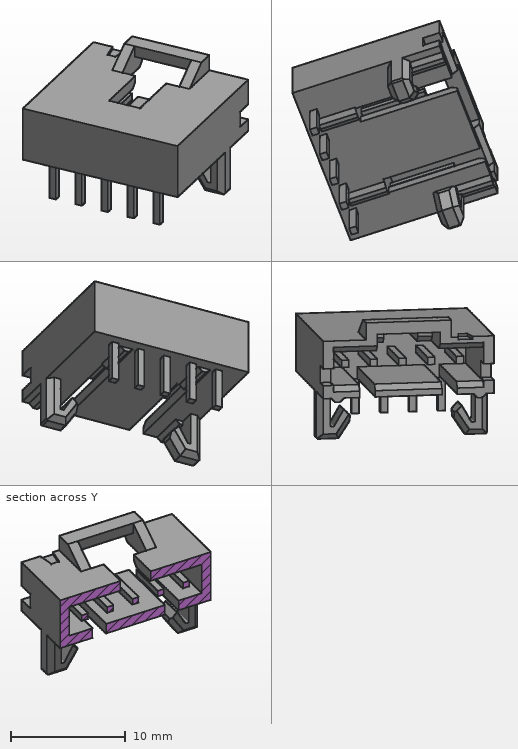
import cadquery as cq


WIDTH = 15.11
DEPTH = 13.58
HEIGHT = 5.08
FRONT_WALL = 4.67
SIDE_WALL = 0.92
SHELL = 1.06
MOUTH_BEVEL = 0.5

BRIDGE_WIDTH = 7.54
CHEEK = 1.0
BRIDGE_RISE = 1.51
BRIDGE_TOP_DEPTH = 1.53
BRIDGE_BAR = 1.05
CHEEK_DEPTH = 3.84
STEM_WIDTH = 3.0
OPENING_WIDTH = BRIDGE_WIDTH - 2 * CHEEK

NOTCH_DEPTH = BRIDGE_TOP_DEPTH
NOTCH_BOTTOM = 1.15
NOTCH_HEIGHT = 1.48
MARK_X = -5.03
MARK_WIDE = 1.27
MARK_NARROW = 0.79
MARK_SINK = 0.23
FLOOR_SLOT_WIDTH = 1.36
FLOOR_SLOT_X = 3.63

PIN_COUNT = 5
PIN_PITCH = 2.54
PIN = 0.63
PIN_ROW_Y = 1.18
PIN_DROP = 3.67
PIN_Z = 2.46
CONTACT_TIP_Y = DEPTH - 3.05

RIDGE_TOP = 1.24
RIDGE_BOTTOM = 0.4
RIDGE_DROP = 0.36
RIDGE_LENGTH = FRONT_WALL - PIN_ROW_Y
INNER_RIDGE_X = 1.5 * PIN_PITCH
OUTER_RIDGE_X = 6.29

CLIP_DROP = 4.2
CLIP_THICKNESS = 2.02
CLIP_Y = DEPTH - 3.95
CLIP_BEVEL = 0.51
CLIP_FOOT = 1.95
CLIP_CORNER = 0.15
CLIP_POST = 1.16
CLIP_REACH = 2.95
ARM_RUN = 0.66
GAP_RUN = 0.58
GAP_WIDTH = 0.3
GAP_FLOOR = 1.16
GAP_ROUND = 0.09
BARB_HEIGHT = 2.04
BARB_LEAN = 0.75


def box(x0, x1, y0, y1, z0, z1):
    return cq.Workplane("XY").box(x1 - x0, y1 - y0, z1 - z0, centered=False).translate((x0, y0, z0))


def extrude_along_x(points, x0, x1):
    return cq.Workplane("YZ", origin=(x0, 0, 0)).polyline(points).close().extrude(x1 - x0)


def extrude_along_y(points, y0, y1):
    return cq.Workplane("XZ", origin=(0, y0, 0)).polyline(points).close().extrude(y0 - y1)


def both_sides(solid):
    return solid.union(solid.mirror("YZ"))


def make_cavity():
    low = SHELL
    high = HEIGHT - SHELL
    mouth = DEPTH - MOUTH_BEVEL
    profile = [
        (FRONT_WALL, low),
        (mouth, low),
        (DEPTH, low - MOUTH_BEVEL),
        (DEPTH, high + MOUTH_BEVEL),
        (mouth, high),
        (FRONT_WALL, high),
    ]
    inner = WIDTH / 2 - SIDE_WALL
    return extrude_along_x(profile, -inner, inner)


def make_roof_opening():
    """T-shaped opening whose step carries the same lead-in bevel as the mouth."""
    underside = HEIGHT - SHELL
    step_y = DEPTH - CHEEK_DEPTH
    wide = OPENING_WIDTH / 2
    stem = box(-STEM_WIDTH / 2, STEM_WIDTH / 2, FRONT_WALL, DEPTH, underside, HEIGHT)
    profile = [
        (step_y, HEIGHT),
        (step_y, underside + MOUTH_BEVEL),
        (step_y - MOUTH_BEVEL, underside),
        (DEPTH, underside),
        (DEPTH, HEIGHT),
    ]
    return stem.union(extrude_along_x(profile, -wide, wide))


def make_latch_bridge():
    top = HEIGHT + BRIDGE_RISE
    half = BRIDGE_WIDTH / 2
    bar_y = DEPTH - BRIDGE_TOP_DEPTH
    profile = [(DEPTH, HEIGHT), (DEPTH, top), (bar_y, top), (DEPTH - CHEEK_DEPTH, HEIGHT)]
    cheek = extrude_along_x(profile, half - CHEEK, half)
    bar = box(-half, half, bar_y, DEPTH, top - BRIDGE_BAR, top)
    return both_sides(cheek).union(bar)


def make_orientation_mark():
    outline = [
        (MARK_X - MARK_WIDE / 2, DEPTH),
        (MARK_X + MARK_WIDE / 2, DEPTH),
        (MARK_X + MARK_NARROW / 2, DEPTH - NOTCH_DEPTH),
        (MARK_X - MARK_NARROW / 2, DEPTH - NOTCH_DEPTH),
    ]
    return cq.Workplane("XY", origin=(0, 0, HEIGHT - MARK_SINK)).polyline(outline).close().extrude(MARK_SINK)


def make_ridge(x, y0):
    profile = [
        (x - RIDGE_TOP / 2, 0),
        (x + RIDGE_TOP / 2, 0),
        (x + RIDGE_BOTTOM / 2, -RIDGE_DROP),
        (x - RIDGE_BOTTOM / 2, -RIDGE_DROP),
    ]
    return extrude_along_y(profile, y0, y0 + RIDGE_LENGTH)


def make_pin(x):
    contact = box(
        x - PIN / 2, x + PIN / 2, PIN_ROW_Y - PIN / 2, CONTACT_TIP_Y, PIN_Z - PIN / 2, PIN_Z + PIN / 2
    )
    leg = box(
        x - PIN / 2, x + PIN / 2, PIN_ROW_Y - PIN / 2, PIN_ROW_Y + PIN / 2, -PIN_DROP, PIN_Z + PIN / 2
    )
    return contact.union(leg)


def make_clip():
    """Clip at the -X side: an upright post joined at its foot to a springy, barbed arm."""
    outer = -WIDTH / 2
    foot = -CLIP_DROP
    y0 = CLIP_Y - CLIP_THICKNESS / 2
    y1 = CLIP_Y + CLIP_THICKNESS / 2
    foot_end = outer + CLIP_FOOT
    blank = extrude_along_y(
        [(outer, 0), (outer, foot), (foot_end, foot), (foot_end + ARM_RUN * CLIP_DROP, 0)], y0, y1
    )
    blank = blank.faces("<Y or >Y").edges("not >Z").chamfer(CLIP_BEVEL)

    tip = outer + CLIP_REACH
    barb_z = foot + BARB_HEIGHT
    envelope = extrude_along_y(
        [
            (outer, 0),
            (outer, foot + CLIP_CORNER),
            (outer + CLIP_CORNER, foot),
            (tip, foot),
            (tip, barb_z),
            (tip - BARB_LEAN, barb_z + BARB_LEAN),
            (tip - BARB_LEAN, 0),
        ],
        y0,
        y1,
    )

    gap_x = outer + CLIP_POST
    gap_z = foot + GAP_FLOOR
    gap_side = gap_x + GAP_WIDTH
    gap_depth = CLIP_DROP - GAP_FLOOR
    gap = extrude_along_y(
        [(gap_x, 0), (gap_x, gap_z), (gap_side, gap_z), (gap_side + GAP_RUN * gap_depth, 0)], y0, y1
    )
    gap = gap.edges("|Y").edges("<Z").fillet(GAP_ROUND)
    return blank.intersect(envelope).cut(gap)


def make_side_notches():
    """Locking notch through both side walls."""
    top = NOTCH_BOTTOM + NOTCH_HEIGHT
    return box(-WIDTH / 2, WIDTH / 2, DEPTH - NOTCH_DEPTH, DEPTH, NOTCH_BOTTOM, top)


def make_floor_slot():
    half = FLOOR_SLOT_WIDTH / 2
    return box(FLOOR_SLOT_X - half, FLOOR_SLOT_X + half, FRONT_WALL, DEPTH, 0, SHELL)


housing = box(-WIDTH / 2, WIDTH / 2, 0, DEPTH, 0, HEIGHT)
housing = housing.cut(make_cavity())
housing = housing.cut(make_roof_opening())
housing = housing.cut(make_side_notches())
housing = housing.cut(make_orientation_mark())
housing = housing.cut(both_sides(make_floor_slot()))

result = housing.union(make_latch_bridge())
result = result.union(both_sides(make_ridge(INNER_RIDGE_X, FRONT_WALL - RIDGE_LENGTH)))
result = result.union(both_sides(make_ridge(OUTER_RIDGE_X, DEPTH - RIDGE_LENGTH)))
result = result.union(both_sides(make_clip()))
for index in range(PIN_COUNT):
    result = result.union(make_pin((index - (PIN_COUNT - 1) / 2) * PIN_PITCH))